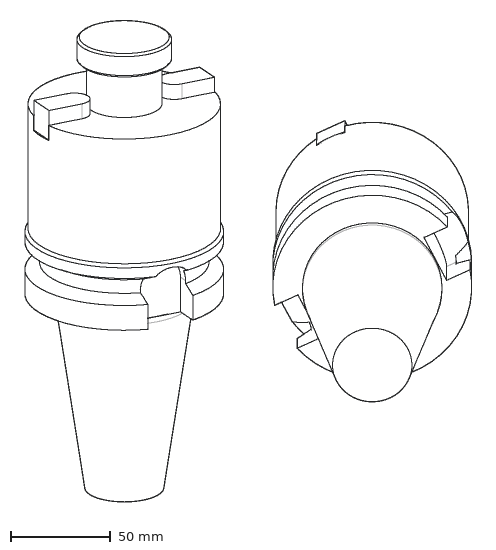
import cadquery as cq

TOTAL_HEIGHT = 243.3
GAUGE_Z = 101.7
FLANGE_BOTTOM_Z = 104.6
GROOVE_CENTRE_Z = 125.3
COLLAR_TOP_Z = 140.0
BODY_TOP_Z = 207.3
HEAD_BOTTOM_Z = 230.7

TAPER_SMALL_RADIUS = 20.0
TAPER_LARGE_RADIUS = 35.0
FLANGE_DIAMETER = 100.0
FLANGE_RADIUS = FLANGE_DIAMETER / 2
GROOVE_RADIUS = 42.5
BODY_RADIUS = 48.5
PILOT_RADIUS = 19.0

GROOVE_FLOOR_HEIGHT = 7.3
GROOVE_MOUTH_HEIGHT = 14.5
COLLAR_CHAMFER = FLANGE_RADIUS - BODY_RADIUS

SLOT_WIDTH = 25.8
SLOT_TOP_Z = 136.3
SLOT_FLOOR_X = 35.3

KEY_WIDTH = 15.8
KEY_RISE = 8.0
KEY_OUTER_Y = 47.5
KEY_INNER_Y = 20.7

HEAD_RADIUS = 23.8
HEAD_CHAMFER = 1.2


def turned_blank():
    """Taper, grooved flange, body and pilot as one revolved profile."""
    floor_half = GROOVE_FLOOR_HEIGHT / 2
    mouth_half = GROOVE_MOUTH_HEIGHT / 2
    profile = [
        (0, 0),
        (TAPER_SMALL_RADIUS, 0),
        (TAPER_LARGE_RADIUS, GAUGE_Z),
        (TAPER_LARGE_RADIUS, FLANGE_BOTTOM_Z),
        (FLANGE_RADIUS, FLANGE_BOTTOM_Z),
        (FLANGE_RADIUS, GROOVE_CENTRE_Z - mouth_half),
        (GROOVE_RADIUS, GROOVE_CENTRE_Z - floor_half),
        (GROOVE_RADIUS, GROOVE_CENTRE_Z + floor_half),
        (FLANGE_RADIUS, GROOVE_CENTRE_Z + mouth_half),
        (FLANGE_RADIUS, COLLAR_TOP_Z - COLLAR_CHAMFER),
        (BODY_RADIUS, COLLAR_TOP_Z),
        (BODY_RADIUS, BODY_TOP_Z),
        (PILOT_RADIUS, BODY_TOP_Z),
        (PILOT_RADIUS, HEAD_BOTTOM_Z),
        (0, HEAD_BOTTOM_Z),
    ]
    return cq.Workplane("XZ").polyline(profile).close().revolve(360, (0, 0), (0, 1))


def drive_slot(side):
    """Round-topped cutter, open at the flange bottom; side is +1 or -1 along X."""
    half_width = SLOT_WIDTH / 2
    shoulder_z = SLOT_TOP_Z - half_width
    return (
        cq.Workplane("YZ", origin=(side * SLOT_FLOOR_X, 0, 0))
        .moveTo(-half_width, FLANGE_BOTTOM_Z)
        .lineTo(-half_width, shoulder_z)
        .threePointArc((0, SLOT_TOP_Z), (half_width, shoulder_z))
        .lineTo(half_width, FLANGE_BOTTOM_Z)
        .close()
        .extrude(side * FLANGE_RADIUS)
    )


def drive_key(side):
    """Key with a flat outer end and a round inner end; side is +1 or -1 along Y."""
    half_width = KEY_WIDTH / 2
    round_start_y = side * (KEY_INNER_Y + half_width)
    return (
        cq.Workplane("XY", origin=(0, 0, BODY_TOP_Z - KEY_RISE))
        .moveTo(-half_width, side * KEY_OUTER_Y)
        .lineTo(-half_width, round_start_y)
        .threePointArc((0, side * KEY_INNER_Y), (half_width, round_start_y))
        .lineTo(half_width, side * KEY_OUTER_Y)
        .close()
        .extrude(2 * KEY_RISE)
    )


def key_seat_opening(side):
    """Cutter for the sliver of body wall outside the flat end of a key."""
    opening_depth = FLANGE_RADIUS - KEY_OUTER_Y
    return (
        cq.Workplane("XY", origin=(0, 0, BODY_TOP_Z - KEY_RISE))
        .center(0, side * (KEY_OUTER_Y + opening_depth / 2))
        .rect(KEY_WIDTH, opening_depth)
        .extrude(KEY_RISE)
    )


def make_holder():
    """Tool holder with its drive slots and keys."""
    holder = turned_blank()
    for side in (-1, 1):
        holder = holder.cut(drive_slot(side))
        holder = holder.cut(key_seat_opening(side))
        holder = holder.union(drive_key(side))
    return holder.solids()


def make_screw_head():
    """Chamfered disc of the clamping screw, seated on the pilot."""
    return (
        cq.Workplane("XY", origin=(0, 0, HEAD_BOTTOM_Z))
        .circle(HEAD_RADIUS)
        .extrude(TOTAL_HEIGHT - HEAD_BOTTOM_Z)
        .edges()
        .chamfer(HEAD_CHAMFER)
    )


holder = make_holder()
screw_head = make_screw_head()
result = cq.Compound.makeCompound([holder.val(), screw_head.val()])